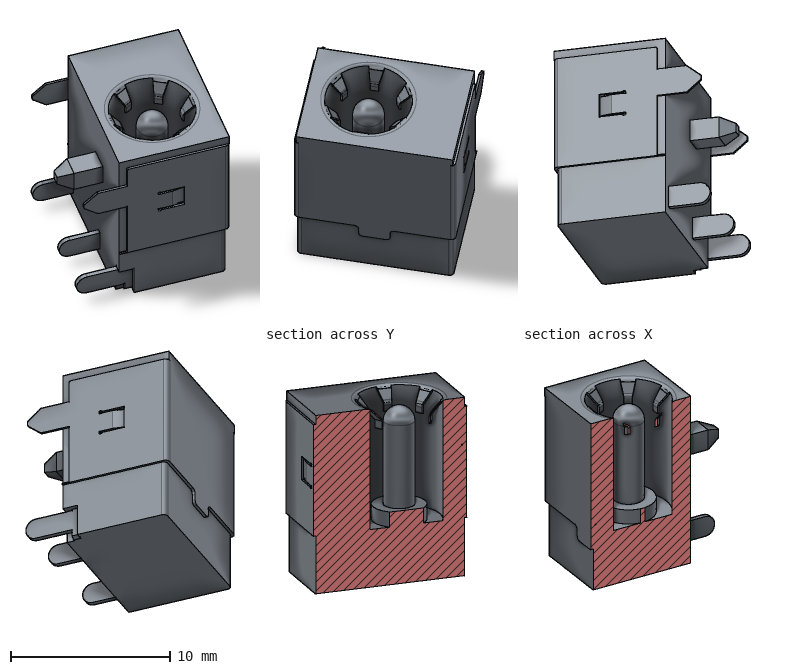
import cadquery as cq
import math


body_width = 10.0
body_height = 11.85
body_depth = 7.3
lower_body_depth = 7.1
lower_corner_radius = 0.3

shell_thickness = 0.15
shell_bottom = 3.85
shell_top = body_height - 0.6
shell_front = 0.5
shell_back_radius = 0.3
shell_front_radius = 0.1
shell_lip_height = 0.05
shell_half_width = body_width / 2 + shell_thickness

tab_height = 1.8
tab_center_z = body_height - 3.0
tab_straight_end = -1.45
tab_tip = -2.37
tab_tip_height = 0.3
tab_tip_radius = 0.1

latch_center_z = body_height - 4.14
latch_height = 1.3
latch_hinge_y = 2.56
latch_bend_y = 3.48
latch_free_y = 4.29
slit_width = 0.12
relief_radius = 0.1
relief_offset = 0.03

stub_width = 2.0
stub_length = 0.95
stub_root_radius = 0.3
stub_tip_radius = 0.25

jack_x = 1.1
jack_y = 3.5
mouth_radius = 3.0
bore_radius = 2.75
bore_depth = 8.0
rim_radius = 0.57
boss_radius = 1.75
boss_height = 1.0
ball_radius = 1.0
ball_depth = 1.5

finger_count = 6
finger_slope = math.radians(49)
finger_thickness = 0.1
finger_inner_radius = 1.95
finger_root_radius = bore_radius + 0.02
finger_bottom_depth = 1.5
finger_inner_half_width = 0.26
finger_outer_half_width = 0.6
finger_bend_radius = 0.5
rim_end_radius = mouth_radius - rim_radius * math.sin(finger_slope)
rim_end_depth = rim_radius * (1 - math.cos(finger_slope))

peg_x = jack_x
peg_z = body_height - 4.08
peg_size = 1.4
peg_tip_size = 0.6
peg_straight_length = 1.9
peg_length = 2.9

terminal_thickness = 0.32
terminal_height = 1.4
terminal_length = 2.7
terminal_bottom = 0.65
terminal_root = 1.0
terminal_xs = (-4.1, peg_x, 4.52)

notch_left = terminal_xs[-1] - terminal_thickness / 2
notch_height = 2.13
notch_depth = terminal_root
plate_setback = 0.5
plate_chamfer = 0.2


def block(x0, x1, y0, y1, z0, z1):
    return cq.Workplane("XY").box(x1 - x0, y1 - y0, z1 - z0, centered=False).translate((x0, y0, z0))


def make_housing():
    half = body_width / 2
    lower = block(-half, half, 0, lower_body_depth, 0, shell_bottom)
    lower = lower.edges("|Z and >Y").fillet(lower_corner_radius)
    middle_depth = body_depth - shell_thickness
    middle = block(-half, half, 0, middle_depth, shell_bottom, shell_top)
    cap = block(-half, half, 0, body_depth, shell_top, body_height)
    return lower.union(middle).union(cap)


def make_shell():
    half = shell_half_width
    shell = block(-half, half, shell_front, body_depth, shell_bottom, shell_top)
    shell = shell.edges("|Z and >Y").fillet(shell_back_radius)
    shell = shell.edges("|X and <Y and >Z").fillet(shell_front_radius)
    lip = block(-half, half, 0, shell_front, shell_bottom, shell_bottom + shell_lip_height)
    return shell.union(lip)


def make_stub():
    """Stub below the shell, with concave roots and rounded lower corners."""
    half = stub_width / 2
    root = stub_root_radius
    tip = stub_tip_radius
    bottom = shell_bottom - stub_length
    outline = (
        cq.Workplane("XZ", origin=(0, body_depth, 0))
        .moveTo(-half - root, shell_bottom)
        .radiusArc((-half, shell_bottom - root), root)
        .lineTo(-half, bottom + tip)
        .radiusArc((-half + tip, bottom), -tip)
        .lineTo(half - tip, bottom)
        .radiusArc((half, bottom + tip), -tip)
        .lineTo(half, shell_bottom - root)
        .radiusArc((half + root, shell_bottom), root)
        .close()
    )
    return outline.extrude(body_depth - lower_body_depth)


def make_solder_tab():
    """Pointed tab in the plane of the -X shell wall."""
    half = tab_height / 2
    tip_half = tab_tip_height / 2
    tab = (
        cq.Workplane("YZ", origin=(-shell_half_width, 0, tab_center_z))
        .polyline([
            (shell_front, -half),
            (shell_front, half),
            (tab_straight_end, half),
            (tab_tip, tip_half),
            (tab_tip, -tip_half),
            (tab_straight_end, -half),
        ])
        .close()
        .extrude(shell_thickness)
    )
    return tab.edges("|X and <Y").fillet(tab_tip_radius)


def make_latch_cut():
    """Material removed from the -X shell wall around its inward-bent tongue."""
    outer = -shell_half_width
    inner = outer + shell_thickness
    half = latch_height / 2
    cut = (
        cq.Workplane("XY", origin=(0, 0, latch_center_z - half))
        .polyline([(outer, latch_bend_y), (outer, latch_free_y), (inner, latch_free_y)])
        .close()
        .extrude(latch_height)
    )
    for side in (-1, 1):
        slit_z = latch_center_z + side * (half + slit_width / 2)
        slit = block(
            outer, inner, latch_hinge_y, latch_free_y, slit_z - slit_width / 2, slit_z + slit_width / 2
        )
        relief = (
            cq.Workplane("YZ", origin=(outer, latch_hinge_y + relief_radius, slit_z + side * relief_offset))
            .circle(relief_radius)
            .extrude(shell_thickness)
        )
        cut = cut.union(slit).union(relief)
    return cut


def make_mouth():
    """Flared mouth rim, rounded until it reaches the slope of the contact fingers."""
    mid_radius = mouth_radius - rim_radius * math.sin(finger_slope / 2)
    mid_depth = rim_radius * (1 - math.cos(finger_slope / 2))
    return (
        cq.Workplane("XZ")
        .moveTo(0, 0)
        .lineTo(mouth_radius, 0)
        .threePointArc((mid_radius, -mid_depth), (rim_end_radius, -rim_end_depth))
        .lineTo(0, -rim_end_depth)
        .close()
        .revolve(360, (0, 0, 0), (0, 1, 0))
    )


def make_finger():
    """Thin finger along +X: a slope running down from the rim, then a vertical leg."""
    slope = math.tan(finger_slope)
    bend_depth = rim_end_depth + (rim_end_radius - finger_inner_radius) * slope
    turn = math.pi / 2 - finger_slope
    tangent_length = finger_bend_radius * math.tan(turn / 2)
    bend_start = (
        finger_inner_radius + tangent_length * math.cos(finger_slope),
        -bend_depth + tangent_length * math.sin(finger_slope),
    )
    bend_end = (finger_inner_radius, -bend_depth - tangent_length)
    leg_back = finger_inner_radius + finger_thickness
    slope_drop = finger_thickness / math.cos(finger_slope)
    underside_bend_depth = bend_depth + slope_drop - finger_thickness * slope
    underside_end_depth = underside_bend_depth - (finger_root_radius - leg_back) * slope
    side = (
        cq.Workplane("XZ", origin=(0, finger_outer_half_width, 0))
        .moveTo(rim_end_radius, 0)
        .lineTo(rim_end_radius, -rim_end_depth)
        .lineTo(*bend_start)
        .radiusArc(bend_end, -finger_bend_radius)
        .lineTo(finger_inner_radius, -finger_bottom_depth)
        .lineTo(leg_back, -finger_bottom_depth)
        .lineTo(leg_back, -underside_bend_depth)
        .lineTo(finger_root_radius, -underside_end_depth)
        .lineTo(finger_root_radius, 0)
        .close()
        .extrude(2 * finger_outer_half_width)
    )
    plan = (
        cq.Workplane("XY")
        .polyline([
            (finger_inner_radius, -finger_inner_half_width),
            (mouth_radius, -finger_outer_half_width),
            (mouth_radius, finger_outer_half_width),
            (finger_inner_radius, finger_inner_half_width),
        ])
        .close()
        .extrude(-finger_bottom_depth)
    )
    return side.intersect(plan)


def make_socket_cut():
    finger = make_finger()
    cut = cq.Workplane("XY").circle(bore_radius).extrude(-bore_depth)
    for index in range(finger_count):
        angle = 90 + index * 360 / finger_count
        cut = cut.cut(finger.rotate((0, 0, 0), (0, 0, 1), angle))
    cut = cut.union(make_mouth())
    return cut.translate((jack_x, jack_y, body_height))


def make_center_pin():
    floor = body_height - bore_depth
    ball_z = body_height - ball_depth
    base = cq.Workplane("XY", origin=(jack_x, jack_y, floor))
    boss = base.circle(boss_radius).extrude(boss_height)
    pin = base.circle(ball_radius).extrude(ball_z - floor)
    ball = cq.Workplane("XY").sphere(ball_radius).translate((jack_x, jack_y, ball_z))
    return boss.union(pin).union(ball)


def make_peg():
    face = cq.Workplane("XZ", origin=(peg_x, 0, peg_z))
    shank = face.rect(peg_size, peg_size).extrude(peg_straight_length)
    tip = (
        face.workplane(offset=peg_straight_length)
        .rect(peg_size, peg_size)
        .workplane(offset=peg_length - peg_straight_length)
        .rect(peg_tip_size, peg_tip_size)
        .loft(ruled=True)
    )
    return shank.union(tip)


def make_terminal(x):
    """Flat blade with a full round end, rooted inside the housing."""
    radius = terminal_height / 2
    round_start = radius - terminal_length
    top = terminal_bottom + terminal_height
    return (
        cq.Workplane("YZ", origin=(x - terminal_thickness / 2, 0, 0))
        .moveTo(terminal_root, terminal_bottom)
        .lineTo(round_start, terminal_bottom)
        .threePointArc((-terminal_length, terminal_bottom + radius), (round_start, top))
        .lineTo(terminal_root, top)
        .close()
        .extrude(terminal_thickness)
    )


def make_notch_cut():
    return block(notch_left, body_width / 2, 0, notch_depth, 0, notch_height)


def make_notch_plate():
    plate_right = notch_left + terminal_thickness
    plate = block(notch_left, plate_right, plate_setback, notch_depth, 0, notch_height)
    return plate.edges("|Y and >X and <Z").chamfer(plate_chamfer)


tab = make_solder_tab()
latch_cut = make_latch_cut()

result = make_housing().union(make_shell()).union(make_stub())
result = result.union(tab).union(tab.mirror("YZ"))
result = result.cut(latch_cut).cut(latch_cut.mirror("YZ"))
result = result.cut(make_socket_cut()).union(make_center_pin())
result = result.cut(make_notch_cut()).union(make_notch_plate())
result = result.union(make_peg())
for terminal_x in terminal_xs:
    result = result.union(make_terminal(terminal_x))